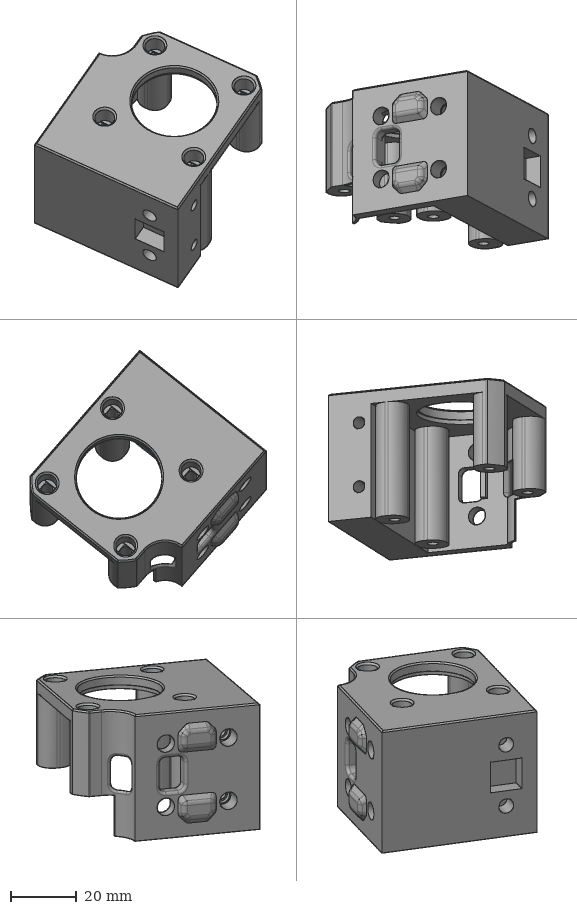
import cadquery as cq
import math

body_x = 50.0
body_y = 56.0
body_z = 40.0
mid_z = body_z / 2
edge_chamfer = 0.5
select_margin = 0.1
past_end = 0.55

relief_r = 8.0
relief_y = body_y - relief_r
relief_wall = 0.9

motor_half = 21.0
motor_x = body_x - motor_half
motor_y = body_y - motor_half
screw_offset = 15.5
plate_thickness = 4.3
bay_top = body_z - plate_thickness
side_wall = 4.0
post_size = 10.0
post_round = 4.5
corner_trim_r = 27.0

opening_d = 26.0
opening_depth = 3.0
opening_wide_d = 27.0

screw_d = 3.4
screw_head_d = 6.0
screw_head_depth = 6.0
screw_chamfer = 0.6
bridge_step = 0.3

step_y = 44.0
step_z = 13.0

pitch = 10.0
mount_z = (mid_z - pitch, mid_z + pitch)

pin_d = 5.5
pin_y = 3 * pitch
bolt_y = pitch
bolt_d = 3.7
bolt_head_d = 5.5
bolt_head_depth = 6.0
bolt_step_d = 4.7
bolt_step_depth = 8.0

window_w = 8.0
window_h = 11.0
window_round = 2.0
window_depth = 6.7
window_lip = 1.0
relief_window_w = 7.5
relief_window_lip = 0.85
window_y = 28.0

jamb_x = 6.0
jamb_width = 1.6
jamb_z = 15.1

lug_y = 2 * pitch
lug_w = 12.2
lug_h = 9.0
lug_height = 2.0
lug_clip = 2.8
lug_end_taper = 30
lug_flank_taper = 45
lug_round = 1.95
lug_offset_z = 11.3

socket_x = 4 * pitch
socket_depth = 5.05
front_hole_d = 4.7
front_hole_depth = 6.0

screw_points = [
    (motor_x + sx * screw_offset, motor_y + sy * screw_offset) for sx in (-1, 1) for sy in (-1, 1)
]


def box(x0, x1, y0, y1, z0, z1):
    """Box given by its limits along the three axes."""
    return cq.Workplane("XY").box(x1 - x0, y1 - y0, z1 - z0, centered=False).translate((x0, y0, z0))


def x_holes(diameter, y, start, end):
    """Pair of round cutters along X at the two mounting heights."""
    points = [(y, z) for z in mount_z]
    plane = cq.Workplane("YZ", origin=(start, 0, 0))
    return plane.pushPoints(points).circle(diameter / 2).extrude(end - start)


def make_body():
    """Outer block with the round relief, trimmed back corners and a beveled top edge."""
    block = box(0, body_x, 0, body_y, 0, body_z)
    relief_corner = box(-past_end, relief_r, relief_y, body_y + past_end, -past_end, body_z + past_end)
    relief = cq.Workplane("XY").center(0, relief_y).circle(relief_r).extrude(body_z)
    block = block.cut(relief_corner).cut(relief)
    block = block.edges("|Z").edges(">Y").fillet(post_round)
    trim = box(-past_end, body_x + past_end, relief_y, body_y + past_end, 0, body_z)
    trim = trim.cut(cq.Workplane("XY").center(motor_x, motor_y).circle(corner_trim_r).extrude(body_z))
    return block.cut(trim).faces(">Z").chamfer(edge_chamfer)


def make_bay():
    """Space for the motor, leaving a rounded post at each screw and a thin wall around the relief."""
    bay = box(side_wall, body_x + past_end, motor_y - motor_half, body_y + past_end, -past_end, bay_top)
    post_shift = motor_half - post_size / 2
    posts = (
        cq.Workplane("XY")
        .center(motor_x, motor_y)
        .rect(2 * post_shift, 2 * post_shift, forConstruction=True)
        .vertices()
        .rect(post_size, post_size)
        .extrude(body_z)
        .edges("|Z")
        .fillet(post_round)
    )
    relief_shell = (
        cq.Workplane("XY").center(0, relief_y).circle(relief_r + relief_wall).extrude(body_z)
    )
    return bay.cut(posts).cut(relief_shell)


def make_motor_opening():
    """Stepped round opening with a chamfered top rim."""
    center = (motor_x, motor_y)
    opening = cq.Workplane("XY", origin=(*center, bay_top)).circle(opening_d / 2).extrude(plate_thickness)
    recess_height = plate_thickness - opening_depth
    recess = (
        cq.Workplane("XY", origin=(*center, bay_top)).circle(opening_wide_d / 2).extrude(recess_height)
    )
    rim = rim_chamfer(opening_d, edge_chamfer).translate((*center, 0))
    return opening.union(recess).union(rim)


def rim_chamfer(diameter, size):
    """45 degree cone that chamfers the rim of a hole in the top face."""
    cone = cq.Solid.makeCone(diameter / 2, diameter / 2 + size, size)
    return cq.Workplane(obj=cone).translate((0, 0, body_z - size))


def make_screw_hole():
    """Counterbored screw hole whose floor steps through a slot and a square to the round hole."""
    floor_z = body_z - screw_head_depth
    bore = cq.Workplane("XY").circle(screw_d / 2).extrude(body_z)
    head = cq.Workplane("XY", origin=(0, 0, floor_z)).circle(screw_head_d / 2).extrude(screw_head_depth)
    slot = (
        cq.Workplane("XY", origin=(0, 0, floor_z - bridge_step))
        .rect(screw_head_d, screw_d)
        .extrude(bridge_step)
        .intersect(head.translate((0, 0, -bridge_step)))
    )
    square = (
        cq.Workplane("XY", origin=(0, 0, floor_z - 2 * bridge_step))
        .rect(screw_d, screw_d)
        .extrude(bridge_step)
    )
    return bore.union(square).union(slot).union(head).union(rim_chamfer(screw_head_d, screw_chamfer))


def make_window(width):
    """Rounded window cutter along +X, centered on the origin, its face at X = 0."""
    profile = cq.Workplane("YZ").rect(width, window_h).extrude(window_depth)
    return profile.edges("|X").fillet(window_round)


def cut_left_window(body):
    """Cut the window in the left wall and round its outer edge."""
    body = body.cut(make_window(window_w).translate((0, window_y, mid_z)))
    mouth = cq.selectors.BoxSelector(
        (-select_margin, window_y - window_w, mid_z - window_h),
        (select_margin, window_y + window_w, mid_z + window_h),
    )
    return body.faces("<X").edges(mouth).fillet(window_lip)


def cut_relief_window(body):
    """Cut the window along the 45 degree radius of the relief and round its outer edge."""
    cutter = (
        make_window(relief_window_w)
        .translate((relief_r / 2, 0, mid_z))
        .rotate((0, 0, 0), (0, 0, 1), -45)
        .translate((0, relief_y, 0))
    )
    body = body.cut(cutter)
    middle = relief_r * math.sqrt(0.5)
    relief_face = cq.selectors.NearestToPointSelector((middle, relief_y - middle, mid_z))
    mouth = cq.selectors.BoxSelector(
        (select_margin, relief_y - relief_r + select_margin, mid_z - window_h),
        (relief_r - select_margin, relief_y - select_margin, mid_z + window_h),
    )
    return body.faces("%CYLINDER").faces(relief_face).edges(mouth).fillet(relief_window_lip)


def lug_outline(half_w, half_h, clip):
    """Rectangle with its two upper corners clipped at 45 degrees."""
    return [
        (-half_w, -half_h),
        (half_w, -half_h),
        (half_w, half_h - clip),
        (half_w - clip, half_h),
        (clip - half_w, half_h),
        (-half_w, half_h - clip),
    ]


def make_lug():
    """Rounded lug on the left face: ends and clipped corners lean less than the long flanks."""
    end_inset = lug_height * math.tan(math.radians(lug_end_taper))
    flank_inset = lug_height * math.tan(math.radians(lug_flank_taper))
    tip_clip = lug_clip + math.sqrt(2) * end_inset - end_inset - flank_inset
    lug = (
        cq.Workplane("YZ")
        .polyline(lug_outline(lug_w / 2, lug_h / 2, lug_clip))
        .close()
        .workplane(offset=-lug_height)
        .polyline(lug_outline(lug_w / 2 - end_inset, lug_h / 2 - flank_inset, tip_clip))
        .close()
        .loft(ruled=True)
    )
    return lug.edges("not(>X)").fillet(lug_round)


body = make_body()
body = cut_left_window(body)
body = cut_relief_window(body)

body = body.cut(make_bay()).cut(make_motor_opening())
for x, y in screw_points:
    body = body.cut(make_screw_hole().translate((x, y, 0)))

jamb_y = window_y + window_w / 2
body = body.union(box(side_wall, jamb_x, jamb_y, jamb_y + jamb_width, jamb_z, bay_top))

body = body.cut(box(-past_end, body_x + past_end, step_y, body_y + past_end, -past_end, step_z))

body = body.cut(x_holes(pin_d, pin_y, -past_end, body_x + past_end))
body = body.cut(x_holes(bolt_d, bolt_y, -past_end, body_x + past_end))
body = body.cut(x_holes(bolt_step_d, bolt_y, -past_end, bolt_step_depth))
body = body.cut(x_holes(bolt_head_d, bolt_y, -past_end, bolt_head_depth))

front = cq.Workplane("XZ", origin=(socket_x, 0, mid_z))
body = body.cut(front.rect(pitch, pitch).extrude(-socket_depth))
front_holes = front.pushPoints([(0, -pitch), (0, pitch)])
body = body.cut(front_holes.circle(front_hole_d / 2).extrude(-front_hole_depth))

upper_lug = make_lug().translate((0, lug_y, mid_z + lug_offset_z))
lower_lug = upper_lug.mirror("XY", (0, 0, mid_z))
result = body.union(upper_lug).union(lower_lug)